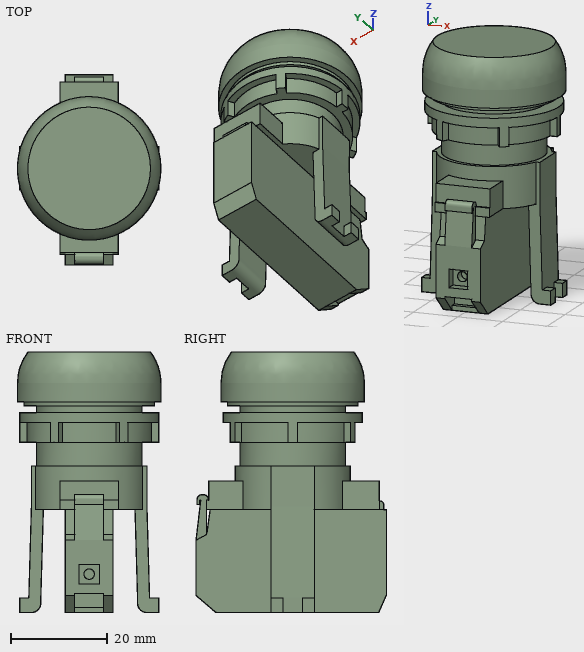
import cadquery as cq

TOP = 54.3
DOME_BASE = 47.8
CAP_BASE = 43.95
FLANGE_BASE = 43.05
NUT_TOP = 41.65
NUT_RIM_BASE = 39.6
NUT_BASE = 35.45
COLLAR_TOP = 30.55
SADDLE_TOP = 27.5
LIP_TOP = 23.45
JOINT = 21.45

CAP_DIAMETER = 29.9
FACE_DIAMETER = 25.5
FLANGE_DIAMETER = 27.25
BARREL_DIAMETER = 22.05
COLLAR_DIAMETER = 24.05

NUT_DIAMETER = 29.0
HUB_DIAMETER = 25.95
TAB_COUNT = 6
TAB_WIDTH = 2.0

SADDLE_WIDTH = 12.15
SADDLE_FRONT = -17.5
SADDLE_BACK = 18.05
LIP_FRONT = -17.9

LEG_WIDTH = 9.05
LEG_THICKNESS = 2.55
LEG_TOP_OUTER = 12.05
LEG_BEND = 22.05
LEG_LEAN = 0.55
FOOT_HEIGHT = 3.1
FOOT_OUTER = NUT_DIAMETER / 2
FOOT_RADIUS = 2.0
FOOT_GAP = 4.0

BLOCK_WIDTH = 10.0
BLOCK_FRONT = -20.15
BLOCK_BACK = 19.55
FRONT_CHAMFER_HEIGHT = 3.6
FRONT_CHAMFER_LENGTH = 4.2
BACK_CHAMFER_HEIGHT = 3.7
BACK_CHAMFER_LENGTH = 1.65
SHOULDER_HEIGHT = 15.1
RELIEF_FLOOR = 16.3
RELIEF_TOP_FRONT = -17.2

LATCH_WIDTH = 6.05
LATCH_STEM_FRONT = -19.15
LATCH_TOP = 24.6
LATCH_RADIUS = 1.05
HOOK_BACK = -17.55
HOOK_FRONT = -19.95
HOOK_TIP = 22.55
HOOK_TIP_THICKNESS = 0.6

REAR_TAB_HEIGHT = 1.85
REAR_TAB_LENGTH = 1.0
REAR_TAB_RADIUS = 0.85

WINDOW_WIDTH = 4.25
WINDOW_HEIGHT = 4.0
WINDOW_CENTER = 8.05
WINDOW_DEPTH = 2.35
SCREW_HOLE_DIAMETER = 2.15
SCREW_HOLE_DEPTH = 2.15

SLOT_TOP = 4.0
SLOT_DEPTH = 5.45
SLOT_SILL_HEIGHT = 1.1


def disc(diameter, base, top):
    """Upright cylinder on the main axis."""
    return cq.Workplane("XY", origin=(0, 0, base)).circle(diameter / 2).extrude(top - base)


def box_between(width, front, back, base, top):
    """Box centred on X, given by its limits along Y and Z."""
    return (
        cq.Workplane("XY", origin=(0, (front + back) / 2, base))
        .rect(width, back - front)
        .extrude(top - base)
    )


def extrude_side_profile(points, width):
    """Closed (y, z) outline extruded along X, centred on X = 0."""
    return cq.Workplane("YZ").polyline(points).close().extrude(width / 2, both=True)


def make_cap():
    """Domed push-button cap; the dome leaves the cylindrical rim tangentially."""
    cap_radius = CAP_DIAMETER / 2
    face_radius = FACE_DIAMETER / 2
    return (
        cq.Workplane("XZ")
        .moveTo(0, CAP_BASE)
        .lineTo(cap_radius, CAP_BASE)
        .lineTo(cap_radius, DOME_BASE)
        .tangentArcPoint((face_radius, TOP), relative=False)
        .lineTo(0, TOP)
        .close()
        .revolve(360, (0, 0, 0), (0, 1, 0))
    )


def make_nut():
    """Locking nut: rim above a hub that carries radial grip tabs."""
    tab_height = NUT_RIM_BASE - NUT_BASE
    tabs = (
        cq.Workplane("XY", origin=(0, 0, NUT_BASE))
        .polarArray(NUT_DIAMETER / 4, 0, 360, TAB_COUNT)
        .rect(NUT_DIAMETER / 2 + TAB_WIDTH, TAB_WIDTH)
        .extrude(tab_height)
        .intersect(disc(NUT_DIAMETER, NUT_BASE, NUT_RIM_BASE))
    )
    rim = disc(NUT_DIAMETER, NUT_RIM_BASE, NUT_TOP)
    return rim.union(disc(HUB_DIAMETER, NUT_BASE, NUT_RIM_BASE)).union(tabs)


def make_saddle():
    """Rectangular saddle across the collar, with a catch lip along its front."""
    saddle = box_between(SADDLE_WIDTH, SADDLE_FRONT, SADDLE_BACK, JOINT, SADDLE_TOP)
    lip = box_between(SADDLE_WIDTH, LIP_FRONT, SADDLE_FRONT, JOINT, LIP_TOP)
    return saddle.union(lip)


def make_leg():
    """Leg on the +X side: leans outward and ends in two rounded toes."""
    foot_back = LEG_TOP_OUTER + LEG_LEAN
    inner_top = LEG_TOP_OUTER - LEG_THICKNESS
    inner_bottom = foot_back - LEG_THICKNESS
    leg = (
        cq.Workplane("XZ")
        .moveTo(inner_top, COLLAR_TOP)
        .lineTo(LEG_TOP_OUTER, COLLAR_TOP)
        .lineTo(LEG_TOP_OUTER, LEG_BEND)
        .lineTo(foot_back, FOOT_HEIGHT)
        .lineTo(FOOT_OUTER, FOOT_HEIGHT)
        .lineTo(FOOT_OUTER, 0)
        .lineTo(inner_bottom + FOOT_RADIUS, 0)
        .radiusArc((inner_bottom, FOOT_RADIUS), FOOT_RADIUS)
        .lineTo(inner_bottom, FOOT_HEIGHT)
        .lineTo(inner_top, LEG_BEND)
        .close()
        .extrude(LEG_WIDTH / 2, both=True)
    )
    toe_length = FOOT_OUTER - foot_back
    gap = (
        cq.Workplane("XY", origin=(foot_back + toe_length / 2, 0, 0))
        .rect(toe_length, FOOT_GAP)
        .extrude(FOOT_HEIGHT)
    )
    return leg.cut(gap)


def make_operator():
    """Push-button head, barrel, locking nut, collar, saddle and legs."""
    operator = (
        make_cap()
        .union(disc(FLANGE_DIAMETER, FLANGE_BASE, CAP_BASE))
        .union(disc(BARREL_DIAMETER, COLLAR_TOP, FLANGE_BASE))
        .union(make_nut())
        .union(disc(COLLAR_DIAMETER, JOINT, COLLAR_TOP))
        .union(make_saddle())
    )
    leg = make_leg()
    for side_leg in (leg, leg.mirror("YZ")):
        operator = operator.union(side_leg)
    return operator


def make_block_body():
    """Contact block housing with chamfered bottom ends and a relieved front."""
    return extrude_side_profile(
        [
            (BLOCK_FRONT + FRONT_CHAMFER_LENGTH, 0),
            (BLOCK_BACK - BACK_CHAMFER_LENGTH, 0),
            (BLOCK_BACK, BACK_CHAMFER_HEIGHT),
            (BLOCK_BACK, JOINT),
            (RELIEF_TOP_FRONT, JOINT),
            (LIP_FRONT, RELIEF_FLOOR),
            (BLOCK_FRONT, SHOULDER_HEIGHT),
            (BLOCK_FRONT, FRONT_CHAMFER_HEIGHT),
        ],
        BLOCK_WIDTH,
    )


def make_latch():
    """Spring latch that rises from the shoulder and hooks over the saddle lip."""
    hook_slit_front = HOOK_FRONT + HOOK_TIP_THICKNESS
    return (
        cq.Workplane("YZ")
        .moveTo(LIP_FRONT, RELIEF_FLOOR)
        .lineTo(BLOCK_FRONT, SHOULDER_HEIGHT)
        .lineTo(LATCH_STEM_FRONT, LIP_TOP)
        .lineTo(hook_slit_front, LIP_TOP)
        .lineTo(hook_slit_front, HOOK_TIP)
        .lineTo(HOOK_FRONT, HOOK_TIP)
        .lineTo(HOOK_FRONT, LATCH_TOP - LATCH_RADIUS)
        .radiusArc((HOOK_FRONT + LATCH_RADIUS, LATCH_TOP), LATCH_RADIUS)
        .lineTo(HOOK_BACK - LATCH_RADIUS, LATCH_TOP)
        .radiusArc((HOOK_BACK, LATCH_TOP - LATCH_RADIUS), LATCH_RADIUS)
        .lineTo(HOOK_BACK, LIP_TOP)
        .lineTo(LIP_FRONT, LIP_TOP)
        .close()
        .extrude(LATCH_WIDTH / 2, both=True)
    )


def make_rear_tab():
    """Small locating tab behind the saddle, rounded along its outer top edge."""
    tab_back = SADDLE_BACK + REAR_TAB_LENGTH
    tab_top = JOINT + REAR_TAB_HEIGHT
    tab = box_between(LATCH_WIDTH, SADDLE_BACK, tab_back, JOINT, tab_top)
    return tab.edges("|X and >Y and >Z").fillet(REAR_TAB_RADIUS)


def make_window():
    """Square front pocket with a round screw hole in its floor."""
    front_face = cq.Workplane("XZ", origin=(0, BLOCK_FRONT, WINDOW_CENTER))
    pocket = front_face.rect(WINDOW_WIDTH, WINDOW_HEIGHT).extrude(-WINDOW_DEPTH)
    hole = front_face.circle(SCREW_HOLE_DIAMETER / 2).extrude(-(WINDOW_DEPTH + SCREW_HOLE_DEPTH))
    return pocket.union(hole)


def make_front_slot():
    """Slot through the front chamfer, leaving a low sill at the bottom."""
    chamfer_end = BLOCK_FRONT + FRONT_CHAMFER_LENGTH
    slot_back = BLOCK_FRONT + SLOT_DEPTH
    opening = box_between(LATCH_WIDTH, BLOCK_FRONT, slot_back, SLOT_SILL_HEIGHT, SLOT_TOP)
    sill_face = box_between(LATCH_WIDTH, BLOCK_FRONT, chamfer_end, 0, SLOT_SILL_HEIGHT)
    return opening.union(sill_face)


def make_contact_block():
    """Contact block with its latch, rear tab, screw window and front slot."""
    return (
        make_block_body()
        .union(make_latch())
        .union(make_rear_tab())
        .cut(make_window())
        .cut(make_front_slot())
    )


operator = make_operator()
contact_block = make_contact_block()

result = cq.Compound.makeCompound([*operator.solids().vals(), *contact_block.solids().vals()])